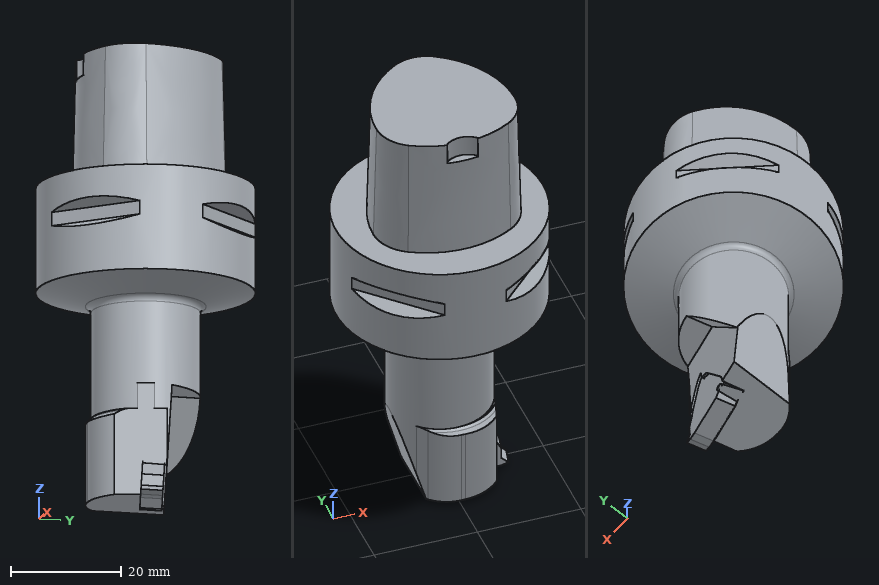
import cadquery as cq
import math


flange_radius = 20.0
flange_height = 19.5
flange_cone_angle = 15.0
neck_fillet = 1.3

slot_count = 4
slot_floor_distance = 17.7
slot_floor_width = 2.5
slot_wall_angle = 30.0
slot_centre_z = -8.05

taper_length = 24.0
taper_base_width = 28.1
taper_ratio = 1 / 20
lobe_centre_distance = 6.7

notch_width = 5.9
notch_depth = 4.1
notch_floor_radius = 4.3
notch_floor_y = -10.95

bar_radius = 10.0

head_top = -43.2
head_bottom = -59.3
head_front_radius = 7.9
head_front_y = -11.1
head_front_flat = (0.15, 0.9)
head_corner_radius = 10.0
head_side_angle = 14.0
head_side_start_x = 8.2
head_side_end_y = 1.4
back_relief_angle = 15.0

bevel_axis = (0.25, 0.5)
bevel_profile = [(10.5, head_top), (11.0, head_top - 0.4), (12.0, head_top - 1.5)]

side_flat_top = -38.5

insert_tip = (12.9, 0.0, -59.15)
insert_yaw = 13.4
insert_tilt = 3.5
insert_side = 16.9
insert_thickness = 4.0
tip_from_corner = (-1.0, 0.85)
tooth_bottom = (-2.35, 0.25)
tooth_root = (-2.35, 1.9)
tooth_bottom_start = (-4.0, 0.0)
clearance_start = 4.6

pocket_floor_rise = 0.45
pocket_runout_low = (-8.1, 5.9, -51.4)
pocket_runout_high = (-0.4, 10.0, -42.0)
seat_notch_x = 9.45
seat_notch_top = -53.8

beyond = 40.0


def polar(radius, degrees):
    angle = math.radians(degrees)
    return radius * math.cos(angle), radius * math.sin(angle)


def lobed_wire(width, z):
    """Three-lobed curve of constant width with a lobe on +Y: three tight arcs, three wide ones."""
    tight_radius = (width - math.sqrt(3) * lobe_centre_distance) / 2
    wide_radius = width - tight_radius

    def lobe_point(lobe_angle, radius, angle):
        centre_x, centre_y = polar(lobe_centre_distance, lobe_angle)
        x, y = polar(radius, angle)
        return centre_x + x, centre_y + y

    outline = cq.Workplane("XY", origin=(0, 0, z)).moveTo(*lobe_point(90, tight_radius, 60))
    for lobe in (90, 210, 330):
        opposite = lobe + 240
        outline = outline.threePointArc(
            lobe_point(lobe, tight_radius, lobe), lobe_point(lobe, tight_radius, lobe + 30)
        )
        outline = outline.threePointArc(
            lobe_point(opposite, wide_radius, lobe + 60),
            lobe_point(opposite, wide_radius, lobe + 90),
        )
    return outline.close().val()


def make_taper():
    tip_width = taper_base_width - taper_length * taper_ratio
    taper = cq.Workplane(
        cq.Solid.makeLoft(
            [lobed_wire(taper_base_width, 0), lobed_wire(tip_width, taper_length)], True
        )
    )
    notch = (
        cq.Workplane("XY", origin=(0, notch_floor_y - notch_floor_radius, taper_length - notch_depth))
        .circle(notch_floor_radius)
        .extrude(notch_depth)
    )
    sides = cq.Workplane("XY").box(notch_width, beyond, beyond)
    return taper.cut(notch.intersect(sides.translate((0, 0, taper_length))))


def make_flange_and_bar():
    """Flange, cone and bar turned as one profile, with a fillet in the neck."""
    cone_drop = (flange_radius - bar_radius) * math.tan(math.radians(flange_cone_angle))
    neck_z = -flange_height - cone_drop
    tangent = neck_fillet * math.tan(math.radians((90 - flange_cone_angle) / 2))
    along_r, along_z = polar(tangent, flange_cone_angle)
    centre_r = bar_radius + neck_fillet
    centre_z = neck_z - tangent
    middle_r, middle_z = polar(neck_fillet, 180 - (90 - flange_cone_angle) / 2)
    return (
        cq.Workplane("XZ")
        .moveTo(0, 0)
        .lineTo(flange_radius, 0)
        .lineTo(flange_radius, -flange_height)
        .lineTo(bar_radius + along_r, neck_z + along_z)
        .threePointArc((centre_r + middle_r, centre_z + middle_z), (bar_radius, centre_z))
        .lineTo(bar_radius, head_bottom)
        .lineTo(0, head_bottom)
        .close()
        .revolve(360, (0, 0, 0), (0, 1, 0))
    )


def make_gripper_slots():
    """Straight slots with flared walls, cut square across the flange's corners."""
    depth = flange_radius - slot_floor_distance
    half_floor = slot_floor_width / 2
    half_mouth = half_floor + depth * math.tan(math.radians(slot_wall_angle))
    slot = (
        cq.Workplane("XZ", origin=(0, 0, slot_centre_z))
        .polyline([
            (slot_floor_distance, -half_floor),
            (flange_radius, -half_mouth),
            (flange_radius, half_mouth),
            (slot_floor_distance, half_floor),
        ])
        .close()
        .extrude(flange_radius, both=True)
    )
    slots = cq.Workplane("XY")
    for i in range(slot_count):
        slots = slots.add(slot.rotate((0, 0, 0), (0, 0, 1), 45 + i * 360 / slot_count))
    return slots.vals()


def head_corner():
    """Start point of the head's side face, where the corner arc ends."""
    rise = head_corner_radius - math.sqrt(
        head_corner_radius ** 2 - (head_side_start_x - head_front_flat[1]) ** 2
    )
    return head_side_start_x, head_front_y + rise


def head_side_point(y):
    """Point of the head's side face at the given Y."""
    start_x, start_y = head_corner()
    return start_x + (y - start_y) * math.tan(math.radians(head_side_angle)), y


def make_head():
    """Bulge beside the bar, its top rounded off by a two-step bevel turned about its own axis."""
    left, right = head_front_flat
    front_centre_y = head_front_y + head_front_radius
    slant_x, slant_y = polar(head_front_radius, 225)
    mid_x, mid_y = polar(head_front_radius, 247.5)
    corner_x, corner_y = head_corner()
    half_turn = math.asin((corner_x - right) / head_corner_radius) / 2
    bulge = (
        cq.Workplane("XY", origin=(0, 0, head_bottom))
        .moveTo(*polar(bar_radius, 225))
        .lineTo(left + slant_x, front_centre_y + slant_y)
        .threePointArc((left + mid_x, front_centre_y + mid_y), (left, head_front_y))
        .lineTo(right, head_front_y)
        .threePointArc(
            (
                right + head_corner_radius * math.sin(half_turn),
                head_front_y + head_corner_radius * (1 - math.cos(half_turn)),
            ),
            (corner_x, corner_y),
        )
        .lineTo(*head_side_point(head_side_end_y))
        .lineTo(0, head_side_end_y)
        .close()
        .extrude(head_top - head_bottom)
    )
    rim_radius = bevel_profile[-1][0]
    bevelled_blank = (
        cq.Workplane("XZ")
        .polyline([(0, head_top), *bevel_profile, (rim_radius, head_bottom), (0, head_bottom)])
        .close()
        .revolve(360, (0, 0, 0), (0, 1, 0))
        .translate((*bevel_axis, 0))
    )
    return bulge.intersect(bevelled_blank)


def make_side_flat():
    """Cutter for everything outside the head's side face, below the flat's top."""
    low = head_side_point(-flange_radius)
    high = head_side_point(flange_radius)
    return (
        cq.Workplane("XY", origin=(0, 0, head_bottom))
        .polyline([low, (beyond, low[1]), (beyond, high[1]), high])
        .close()
        .extrude(side_flat_top - head_bottom)
    )


def make_back_relief():
    """Cutter for the slanting plane on the head's -X side."""
    drop = head_top - head_bottom
    return (
        cq.Workplane("XZ")
        .polyline([
            (-bar_radius, head_top),
            (-bar_radius + drop * math.tan(math.radians(back_relief_angle)), head_bottom),
            (-beyond, head_bottom),
            (-beyond, head_top),
        ])
        .close()
        .extrude(flange_radius, both=True)
    )


def rake_plane():
    """Plane of the insert's cutting face, at its tip, with its normal pointing into the insert."""
    yaw = math.radians(insert_yaw)
    tilt = math.radians(insert_tilt)
    return cq.Plane(
        origin=insert_tip,
        xDir=(math.cos(yaw), -math.sin(yaw), 0),
        normal=(
            -math.sin(yaw) * math.cos(tilt),
            -math.cos(yaw) * math.cos(tilt),
            math.sin(tilt),
        ),
    )


def insert_outline():
    """One toothed corner repeated round the triangle's centre, in the rake plane."""
    centre_to_corner_x = insert_side / 2
    centre_to_edge = insert_side / (2 * math.sqrt(3))
    corner = [
        tooth_bottom_start,
        tooth_bottom,
        tip_from_corner,
        tooth_root,
        polar(clearance_start, 120),
    ]
    centre_x = -tip_from_corner[0] - centre_to_corner_x
    centre_y = -tip_from_corner[1] + centre_to_edge
    points = []
    for i in range(3):
        turn = math.radians(120 * i)
        for corner_x, corner_y in corner:
            x = corner_x + centre_to_corner_x
            y = corner_y - centre_to_edge
            points.append((
                centre_x + x * math.cos(turn) - y * math.sin(turn),
                centre_y + x * math.sin(turn) + y * math.cos(turn),
            ))
    return points


def insert_prism(bottom, top):
    """Insert outline between two depths measured from the rake face into the insert."""
    return (
        cq.Workplane(rake_plane())
        .workplane(offset=bottom)
        .polyline(insert_outline())
        .close()
        .extrude(top - bottom)
    )


def make_chip_pocket():
    """Cutter above the pocket floor, which runs out up the bar along a slanting wall."""
    plane = rake_plane()
    low = plane.toLocalCoords(cq.Vector(*pocket_runout_low))
    high = plane.toLocalCoords(cq.Vector(*pocket_runout_high))
    slope = (high.y - low.y) / (high.x - low.x)
    top = side_flat_top - insert_tip[2]
    outer_x = low.x - bar_radius
    outline = [
        (outer_x, low.y + (outer_x - low.x) * slope),
        (high.x + (top - high.y) / slope, top),
        (beyond, top),
        (beyond, -beyond),
        (outer_x, -beyond),
    ]
    return (
        cq.Workplane(plane)
        .workplane(offset=-pocket_floor_rise)
        .polyline(outline)
        .close()
        .extrude(-beyond)
    )


def make_seat_notch():
    """Clearance in the head's side, under the overhanging corner of the insert."""
    return (
        cq.Workplane("XY", origin=(seat_notch_x, 0, head_bottom))
        .rect(beyond, beyond)
        .extrude(seat_notch_top - head_bottom)
        .translate((beyond / 2, 0, 0))
    )


def make_holder():
    holder = make_flange_and_bar().union(make_taper())
    for slot in make_gripper_slots():
        holder = holder.cut(cq.Workplane(slot))
    holder = holder.union(make_head())
    holder = holder.cut(make_side_flat())
    holder = holder.cut(make_back_relief())
    holder = holder.cut(make_chip_pocket())
    holder = holder.cut(make_seat_notch())
    return holder.cut(insert_prism(-insert_thickness, insert_thickness))


def make_insert():
    return insert_prism(0, insert_thickness)


holder = make_holder()
insert = make_insert()

result = cq.Compound.makeCompound([holder.val(), insert.val()])